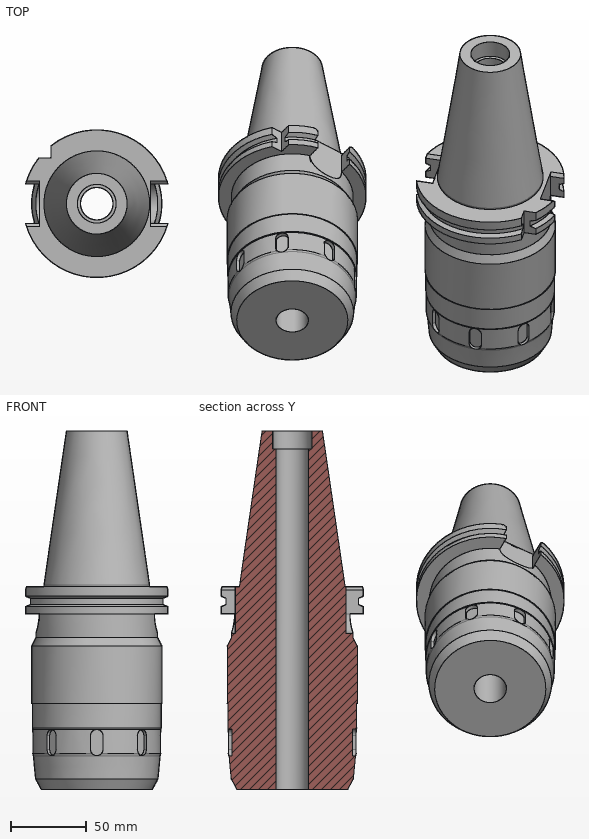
import cadquery as cq

height = 236.8
gauge_diameter = 69.8
gauge_radius = gauge_diameter / 2
gauge_z = 135.0
taper_ratio = 7 / 24
small_end_radius = gauge_radius - taper_ratio * (height - gauge_z) / 2

flange_radius = 48.8
flange_top = 134.0
flange_bottom = 116.0
groove_radius = 45.7
groove_floor_top = 126.2
groove_floor_bottom = 122.2
groove_side_rise = 1.5

neck_radius = 40.2
neck_bottom = 100.5
body_radius = 43.0
body_top = 94.7
body_bottom = 56.8

nut_radius = 42.5
nut_barrel_bottom = 40.5
grip_radius = 42.4
grip_top = 39.8
grip_bottom = 23.7
relief_radius = 42.0
relief_z = 22.3
nose_radius = 40.5
nose_chamfer_top = 7.0
nose_face_radius = 36.7

bore_radius = 10.7
counterbore_radius = 12.8
counterbore_depth = 11.8

slot_width = 25.8
slot_arc_z = flange_bottom
slot_chamfer = 2.1
slot_floor_left = 37.6
slot_floor_right = 35.5

notch_x = -30.3
notch_y = 30.3

spanner_count = 8
spanner_width = 8.3
spanner_length = 17.3
spanner_z = 31.0
spanner_floor = 39.8


def turned_body():
    profile = [
        (0, 0),
        (nose_face_radius, 0),
        (nose_radius, nose_chamfer_top),
        (relief_radius, relief_z),
        (grip_radius, grip_bottom),
        (grip_radius, grip_top),
        (nut_radius, nut_barrel_bottom),
        (nut_radius, body_bottom),
        (body_radius, body_bottom),
        (body_radius, body_top),
        (neck_radius, neck_bottom),
        (neck_radius, flange_bottom),
        (flange_radius, flange_bottom),
        (flange_radius, groove_floor_bottom - groove_side_rise),
        (groove_radius, groove_floor_bottom),
        (groove_radius, groove_floor_top),
        (flange_radius, groove_floor_top + groove_side_rise),
        (flange_radius, flange_top),
        (gauge_radius, flange_top),
        (gauge_radius, gauge_z),
        (small_end_radius, height),
        (0, height),
    ]
    return cq.Workplane("XZ").polyline(profile).close().revolve(360, (0, 0), (0, 1))


def bore():
    through = cq.Workplane("XY").circle(bore_radius).extrude(height)
    counterbore = (
        cq.Workplane("XY", origin=(0, 0, height - counterbore_depth))
        .circle(counterbore_radius)
        .extrude(counterbore_depth)
    )
    return through.union(counterbore)


def drive_slot(floor_x, direction):
    """Round-bottomed slot, cut outward from its flat floor, flared at the flange top."""
    half = slot_width / 2
    flare = half + slot_chamfer
    return (
        cq.Workplane("YZ", origin=(floor_x, 0, 0))
        .moveTo(-half, slot_arc_z)
        .threePointArc((0, slot_arc_z - half), (half, slot_arc_z))
        .lineTo(half, flange_top - slot_chamfer)
        .lineTo(flare, flange_top)
        .lineTo(-flare, flange_top)
        .lineTo(-half, flange_top - slot_chamfer)
        .close()
        .extrude(direction * flange_radius)
    )


def orientation_notch():
    return (
        cq.Workplane("XY", origin=(notch_x, notch_y, flange_bottom))
        .rect(-flange_radius, flange_radius, centered=False)
        .extrude(flange_top - flange_bottom)
    )


def spanner_slot(angle):
    return (
        cq.Workplane("YZ", origin=(spanner_floor, 0, spanner_z))
        .slot2D(spanner_length, spanner_width, 90)
        .extrude(body_radius - spanner_floor)
        .rotate((0, 0, 0), (0, 0, 1), angle)
    )


result = turned_body().cut(bore())
result = result.cut(drive_slot(-slot_floor_left, -1))
result = result.cut(drive_slot(slot_floor_right, 1))
result = result.cut(orientation_notch())
for index in range(spanner_count):
    result = result.cut(spanner_slot(index * 360 / spanner_count))